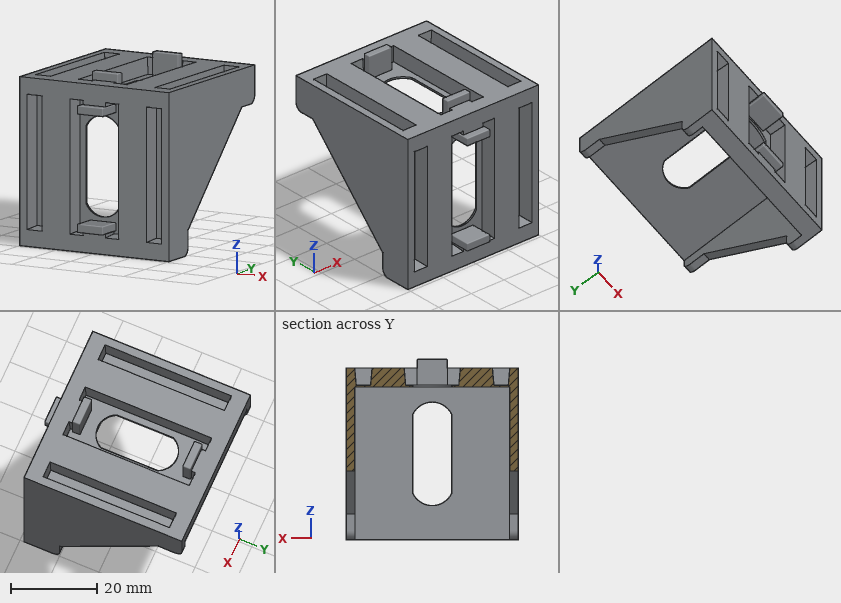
import cadquery as cq
import math

width = 40.0
leg = 40.0
flange_thickness = 4.5
gusset_thickness = 2.0

end_height = 9.0
end_land = 6.0
end_radius = 2.0

pocket_length = 32.0
pocket_depth = 4.0
pocket_draft = 5.0
side_pocket_width = 4.0
side_pocket_margin = 2.0
centre_pocket_width = 13.0

slot_width = 9.0
slot_end_radius = 5.0
top_slot_length = 20.0
front_slot_length = 24.0

tab_width = 7.0
tab_thickness = 2.0
tab_height = 2.0
tab_edge_round = 0.25
tab_backing_width = 6.0
tab_backing_length = 1.0


def make_body():
    """Gusset outline across the full width, hollowed between the gussets."""
    outline = (
        cq.Workplane("YZ")
        .polyline([
            (0, 0),
            (end_height, 0),
            (end_height, end_land),
            (leg - end_land, leg - end_height),
            (leg, leg - end_height),
            (leg, leg),
            (0, leg),
        ])
        .close()
    )
    body = outline.extrude(width / 2, both=True)
    free_corners = (
        cq.selectors.NearestToPointSelector((0, end_height, 0)),
        cq.selectors.NearestToPointSelector((0, leg, leg - end_height)),
    )
    for corner in free_corners:
        body = body.edges("|X").edges(corner).fillet(end_radius)

    cavity = cq.Workplane("XY").box(
        width - 2 * gusset_thickness, leg, leg, centered=(True, False, False)
    )
    return body.cut(cavity.translate((0, flange_thickness, -flange_thickness)))


def make_pockets(face):
    """Two side pockets and a centre pocket, narrowing towards their floors."""
    side_x = width / 2 - side_pocket_margin - side_pocket_width / 2
    pockets = face.rect(centre_pocket_width, pocket_length).extrude(-pocket_depth, taper=pocket_draft)
    for x in (-side_x, side_x):
        side_pocket = face.center(x, 0).rect(side_pocket_width, pocket_length)
        pockets = pockets.union(side_pocket.extrude(-pocket_depth, taper=pocket_draft))
    return pockets


def make_slot(face, length):
    """Bolt slot with straight sides and shallow arc ends."""
    half_width = slot_width / 2
    arc_rise = slot_end_radius - math.sqrt(slot_end_radius**2 - half_width**2)
    straight = length / 2 - arc_rise
    return (
        face.moveTo(-half_width, -straight)
        .threePointArc((0, -length / 2), (half_width, -straight))
        .lineTo(half_width, straight)
        .threePointArc((0, length / 2), (-half_width, straight))
        .close()
        .extrude(-flange_thickness)
    )


def make_tab(face, side):
    """Rounded tab rooted in the flange, with its backing block; side is +1 or -1."""
    pocket_end = side * pocket_length / 2
    backing_y = pocket_end - side * tab_backing_length / 2
    tab_y = pocket_end - side * (tab_backing_length + tab_thickness / 2)
    root = face.workplane(offset=-flange_thickness)
    tab = (
        root.center(0, tab_y)
        .rect(tab_width, tab_thickness)
        .extrude(flange_thickness + tab_height)
    )
    root_centre = root.plane.toWorldCoords((0, tab_y, 0)).toTuple()
    base_edges = tab.faces(cq.selectors.NearestToPointSelector(root_centre)).edges().vals()
    rounded = [edge for edge in tab.edges().vals() if not any(edge.isSame(base) for base in base_edges)]
    tab = tab.newObject(rounded).fillet(tab_edge_round)
    backing = (
        root.center(0, backing_y)
        .rect(tab_backing_width, tab_backing_length + tab_thickness)
        .extrude(flange_thickness)
    )
    return tab.union(backing)


def add_face_details(body, face, slot_length):
    """Cut the pockets and the slot into one outer face and add its tabs."""
    body = body.cut(make_pockets(face)).cut(make_slot(face, slot_length))
    for side in (-1, 1):
        body = body.union(make_tab(face, side))
    return body


top_face = cq.Workplane("XY", origin=(0, leg / 2, leg))
front_face = cq.Workplane("XZ", origin=(0, 0, leg / 2))

result = make_body()
result = add_face_details(result, top_face, top_slot_length)
result = add_face_details(result, front_face, front_slot_length)